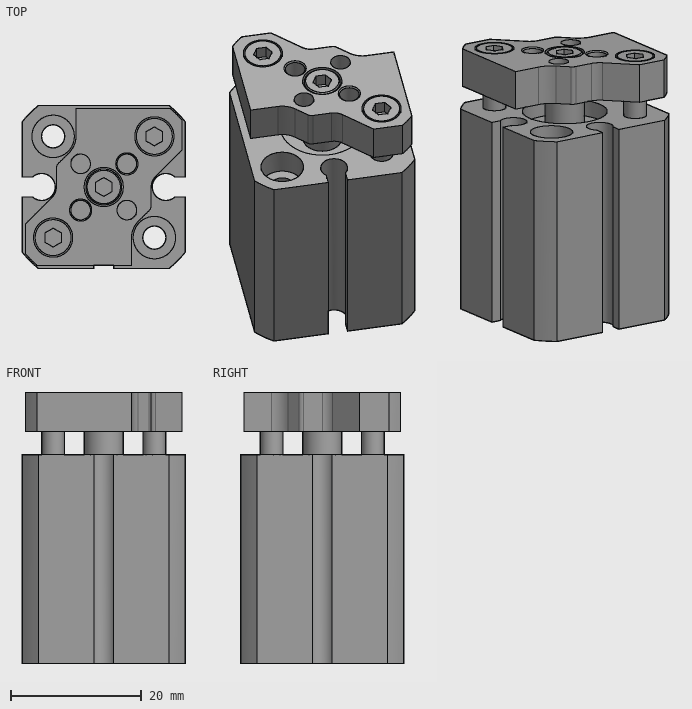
import cadquery as cq
import math

HOUSING_SIZE = 25.0
HOUSING_HEIGHT = 32.0
HOUSING_CORNER_RADIUS = 16.0

GRID = 7.75

MOUNT_HOLE_DIAMETER = 3.5
MOUNT_BORE_DIAMETER = 6.5
MOUNT_BORE_DEPTH = 4.0

SLOT_MOUTH = 3.0
SLOT_BORE_RADIUS = 2.05
SLOT_AXIS = HOUSING_SIZE / 2 - 3.0
SLOT_ANGLES = (0, 180, 270)

COLLAR_RECESS_DIAMETER = 13.0
COLLAR_RECESS_DEPTH = 2.5

PLATE_SIZE = 24.0
PLATE_THICKNESS = 6.0
PLATE_GAP = 3.5
PLATE_CORNER_RADIUS = 15.75
MOUNT_RELIEF_RADIUS = 3.5
SLOT_RELIEF_RADIUS = 2.25
WAIST_FILLET = 1.0

PISTON_ROD_DIAMETER = 6.0
GUIDE_ROD_DIAMETER = 3.5
ROD_INSERTION = 20.0

SCREW_BORE_DIAMETER = 6.0
SCREW_HEAD_DIAMETER = 5.5
SCREW_GAP_DEPTH = 3.0
CENTER_HEAD_CHAMFER = 0.2
HEX_ACROSS_FLATS = 2.5
HEX_DEPTH = 2.0
HEX_TURN = 30

PIN_HOLE_DIAMETER = 3.0
TAP_HOLE_DIAMETER = 3.0
TAP_CHAMFER = 0.2
TAP_CHAMFER_ANGLE = 90
PLATE_HOLE_CIRCLE = 10.0

PLATE_BOTTOM = HOUSING_HEIGHT + PLATE_GAP
PLATE_TOP = PLATE_BOTTOM + PLATE_THICKNESS
ROD_BOTTOM = HOUSING_HEIGHT - ROD_INSERTION
PLATE_HOLE_OFFSET = PLATE_HOLE_CIRCLE / 2 * math.sqrt(0.5)
HEX_DIAMETER = HEX_ACROSS_FLATS / math.cos(math.pi / 6)

GUIDE_AXES = [(GRID, GRID), (-GRID, -GRID)]
MOUNT_AXES = [(-GRID, GRID), (GRID, -GRID)]
SCREW_AXES = [(0, 0)] + GUIDE_AXES
PIN_AXES = [(-PLATE_HOLE_OFFSET, PLATE_HOLE_OFFSET), (PLATE_HOLE_OFFSET, -PLATE_HOLE_OFFSET)]
TAP_AXES = [(PLATE_HOLE_OFFSET, PLATE_HOLE_OFFSET), (-PLATE_HOLE_OFFSET, -PLATE_HOLE_OFFSET)]


def cylinders(axes, diameter, bottom, top):
    """Upright cylinders at the given axes."""
    base = cq.Workplane("XY", origin=(0, 0, bottom)).pushPoints(axes)
    return base.circle(diameter / 2).extrude(top - bottom)


def rod_shapes():
    """Piston rod and guide rods, from inside the housing up to the plate."""
    piston_rod = cylinders([(0, 0)], PISTON_ROD_DIAMETER, ROD_BOTTOM, PLATE_BOTTOM)
    guide_rods = cylinders(GUIDE_AXES, GUIDE_ROD_DIAMETER, ROD_BOTTOM, PLATE_BOTTOM)
    return piston_rod, guide_rods


def side_slot(angle):
    """Keyhole-shaped slot along the full height, on the side facing the given angle."""
    mouth_length = HOUSING_SIZE / 2 - SLOT_AXIS
    mouth = cq.Workplane("XY").center(SLOT_AXIS + mouth_length / 2, 0)
    mouth = mouth.rect(mouth_length, SLOT_MOUTH).extrude(HOUSING_HEIGHT)
    bore = cylinders([(SLOT_AXIS, 0)], 2 * SLOT_BORE_RADIUS, 0, HOUSING_HEIGHT)
    return mouth.union(bore).rotate((0, 0, 0), (0, 0, 1), angle)


def make_housing():
    body = cq.Workplane("XY").rect(HOUSING_SIZE, HOUSING_SIZE).extrude(HOUSING_HEIGHT)
    body = body.intersect(cylinders([(0, 0)], 2 * HOUSING_CORNER_RADIUS, 0, HOUSING_HEIGHT))
    for angle in SLOT_ANGLES:
        body = body.cut(side_slot(angle))

    bore_floor = HOUSING_HEIGHT - MOUNT_BORE_DEPTH
    body = body.cut(cylinders(MOUNT_AXES, MOUNT_HOLE_DIAMETER, 0, HOUSING_HEIGHT))
    body = body.cut(cylinders(MOUNT_AXES, MOUNT_BORE_DIAMETER, bore_floor, HOUSING_HEIGHT))

    recess_floor = HOUSING_HEIGHT - COLLAR_RECESS_DEPTH
    body = body.cut(cylinders([(0, 0)], COLLAR_RECESS_DIAMETER, recess_floor, HOUSING_HEIGHT))

    for rods in rod_shapes():
        body = body.cut(rods)
    return body


def plate_outline():
    """Closed outline with half-turn symmetry: each half is the same chain of edges, signs flipped."""
    diagonal = math.sqrt(0.5)
    arc_half_turn = 22.5
    half = PLATE_SIZE / 2
    corner = math.sqrt(PLATE_CORNER_RADIUS ** 2 - half ** 2)
    corner_middle = PLATE_CORNER_RADIUS * diagonal
    shoulder_x = GRID - MOUNT_RELIEF_RADIUS
    waist_x = SLOT_AXIS - SLOT_RELIEF_RADIUS
    mount_arc_end = GRID - MOUNT_RELIEF_RADIUS * diagonal
    waist_corner_y = 2 * mount_arc_end - waist_x
    tangent = WAIST_FILLET * math.tan(math.radians(arc_half_turn))
    slot_arc_x = SLOT_AXIS - SLOT_RELIEF_RADIUS * diagonal
    slot_arc_y = SLOT_RELIEF_RADIUS * diagonal
    flank_y = slot_arc_y + half - slot_arc_x

    def on_circle(x, y, radius, degrees):
        angle = math.radians(degrees)
        return (x + radius * math.cos(angle), y + radius * math.sin(angle))

    mount_arc_middle = on_circle(-GRID, GRID, MOUNT_RELIEF_RADIUS, -arc_half_turn)
    fillet_center_x = -waist_x + WAIST_FILLET
    fillet_center_y = waist_corner_y - tangent
    fillet_middle = on_circle(fillet_center_x, fillet_center_y, WAIST_FILLET, 180 - arc_half_turn)
    slot_arc_middle = on_circle(-SLOT_AXIS, 0, SLOT_RELIEF_RADIUS, -arc_half_turn)

    outline = cq.Workplane("XY", origin=(0, 0, PLATE_BOTTOM)).moveTo(-shoulder_x, half)
    for sign in (1, -1):
        def at(x, y):
            return (sign * x, sign * y)

        outline = (
            outline.lineTo(*at(-shoulder_x, GRID))
            .threePointArc(at(*mount_arc_middle), at(-mount_arc_end, mount_arc_end))
            .lineTo(*at(-waist_x + tangent * diagonal, waist_corner_y + tangent * diagonal))
            .threePointArc(at(*fillet_middle), at(-waist_x, fillet_center_y))
            .lineTo(*at(-waist_x, 0))
            .threePointArc(at(*slot_arc_middle), at(-slot_arc_x, -slot_arc_y))
            .lineTo(*at(-half, -flank_y))
            .lineTo(*at(-half, -corner))
            .threePointArc(at(-corner_middle, -corner_middle), at(-corner, -half))
            .lineTo(*at(shoulder_x, -half))
        )
    return outline.close()


def make_plunger():
    plate = plate_outline().extrude(PLATE_THICKNESS)

    plate = plate.cut(cylinders(PIN_AXES, PIN_HOLE_DIAMETER, PLATE_BOTTOM, PLATE_TOP))
    tap_points = plate.faces(">Z").workplane(origin=(0, 0, PLATE_TOP)).pushPoints(TAP_AXES)
    plate = tap_points.cskHole(TAP_HOLE_DIAMETER, TAP_HOLE_DIAMETER + 2 * TAP_CHAMFER, TAP_CHAMFER_ANGLE)

    gap_floor = PLATE_TOP - SCREW_GAP_DEPTH
    plate = plate.cut(cylinders(SCREW_AXES, SCREW_BORE_DIAMETER, gap_floor, PLATE_TOP))
    center_head = cylinders([(0, 0)], SCREW_HEAD_DIAMETER, gap_floor, PLATE_TOP)
    center_head = center_head.faces(">Z").chamfer(CENTER_HEAD_CHAMFER)
    guide_heads = cylinders(GUIDE_AXES, SCREW_HEAD_DIAMETER, gap_floor, PLATE_TOP)
    plate = plate.union(center_head).union(guide_heads)

    for x, y in SCREW_AXES:
        socket = cq.Workplane("XY").polygon(6, HEX_DIAMETER).extrude(HEX_DEPTH)
        socket = socket.rotate((0, 0, 0), (0, 0, 1), HEX_TURN)
        plate = plate.cut(socket.translate((x, y, PLATE_TOP - HEX_DEPTH)))

    for rods in rod_shapes():
        plate = plate.union(rods)
    return plate


housing = make_housing()
plunger = make_plunger()

result = cq.Compound.makeCompound([housing.val(), plunger.val()])